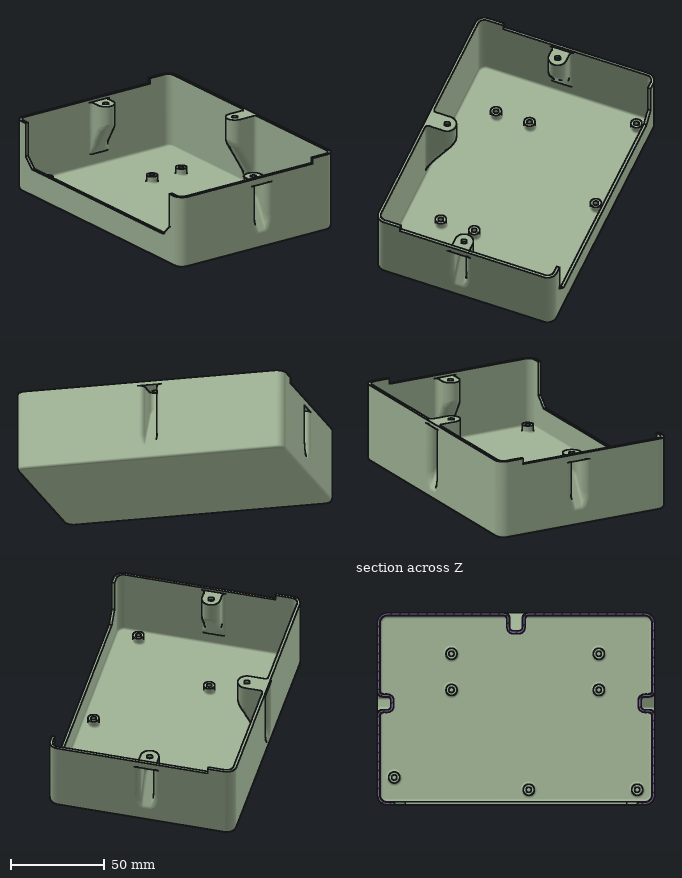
import cadquery as cq
import math

length = 149.2
width = 103.2
height = 43.5
wall = 1.6
corner_radius = 5.4
bottom_radius = 1.6
floor_radius = 1.6

rim_height = 40.5
raised_rim_length = 14.6
opening_width = 130.4
opening_floor = 15.7
opening_chamfer = 5.8

boss_width = 10.0
boss_radius = boss_width / 2
boss_cap = 2.2
boss_hole_diameter = 3.1
boss_slope = math.radians(60)
underside_radius = 3.3
root_radius = 1.6
side_boss_top = 38.8
side_boss_reach = 6.0
side_boss_tip = 27.8
side_boss_y = 3.0
rear_boss_reach = 10.1
rear_boss_tip = 31.0

post_diameter = 6.0
post_hole_diameter = 2.8
post_height = 4.5
post_root_radius = 1.6
rear_post_x = (-34.6, 44.5)
rear_post_y = (10.1, 29.5)
front_post_points = [(-65.3, -36.9), (6.9, -43.4), (65.0, -43.4)]


def rounded_box(inset, bottom, top, edge_radius):
    """Box with rounded corners and bottom edge, inset from the outer walls."""
    return (
        cq.Workplane("XY", origin=(0, 0, bottom))
        .rect(length - 2 * inset, width - 2 * inset)
        .extrude(top - bottom)
        .edges("|Z")
        .fillet(corner_radius - inset)
        .faces("<Z")
        .edges()
        .fillet(edge_radius)
    )


def slope_underside(prism, front, tip, edge_radius):
    """Cut a prism's lower end to the boss slope and round the edges of the sloped face.

    The slope starts at height tip on x = front and runs down towards -X.
    """
    rise = math.tan(boss_slope)
    below_slope = (
        cq.Workplane("XZ")
        .moveTo(front + wall, tip + wall * rise)
        .lineTo(-2 * wall, tip - (front + 2 * wall) * rise)
        .lineTo(-2 * wall, -height)
        .lineTo(front + wall, -height)
        .close()
        .extrude(boss_width, both=True)
    )
    underside_normal = cq.Vector(math.sin(boss_slope), 0, -math.cos(boss_slope))
    underside = cq.selectors.ParallelDirSelector(underside_normal)
    return prism.cut(below_slope).faces(underside).edges(">X").fillet(edge_radius)


def boss_form(reach, top, tip):
    """Half-round boss standing out along +X, its sides flaring into the wall.

    The wall's inner face is at x = 0 and the screw axis at x = reach.
    """
    front = reach + boss_radius
    back = -wall / 2
    flare_y = boss_radius + root_radius
    flare_mid = root_radius * (1 - math.sqrt(0.5))
    prism = (
        cq.Workplane("XY")
        .moveTo(back, -flare_y)
        .lineTo(0, -flare_y)
        .threePointArc((flare_mid, -boss_radius - flare_mid), (root_radius, -boss_radius))
        .lineTo(reach, -boss_radius)
        .threePointArc((front, 0), (reach, boss_radius))
        .lineTo(root_radius, boss_radius)
        .threePointArc((flare_mid, boss_radius + flare_mid), (0, flare_y))
        .lineTo(back, flare_y)
        .close()
        .extrude(top)
    )
    return slope_underside(prism, front, tip, underside_radius)


def recess_form(reach, boss_top, boss_tip):
    """Hollow of a boss, one wall thickness inside it, with a rounded mouth in the outer wall.

    The hollow stands on a thin plate lying against the outer face of the wall.
    """
    radius = boss_radius - wall
    front = reach + radius
    top = boss_top - boss_cap
    tip = boss_tip + wall * (1 / math.cos(boss_slope) - math.tan(boss_slope))
    mouth_radius = root_radius + wall
    mouth = -wall
    prism = (
        cq.Workplane("XY")
        .moveTo(mouth, -radius)
        .lineTo(reach, -radius)
        .threePointArc((front, 0), (reach, radius))
        .lineTo(mouth, radius)
        .close()
        .extrude(top)
    )
    hollow = slope_underside(prism, front, tip, underside_radius - wall)
    plate = (
        cq.Workplane("XY", origin=(mouth - wall, 0, 0))
        .box(wall, 2 * boss_width, top, centered=(False, True, False))
    )
    mouth_zone = cq.selectors.BoxSelector(
        (mouth - wall / 2, -boss_radius, wall),
        (mouth + wall / 2, boss_radius, top - wall),
    )
    return plate.union(hollow).edges(mouth_zone).fillet(mouth_radius)


def place(form, wall_point, angle):
    """Turn a form's +X to the given angle and move its origin to a wall's inner face."""
    return form.rotate((0, 0, 0), (0, 0, 1), angle).translate(wall_point)


def add_boss(body, wall_point, angle, reach, top, tip):
    """Screw boss with a parallel recess in the outer side of the wall and a hole in its cap."""
    boss = boss_form(reach, top, tip)
    recess = recess_form(reach, top, tip)
    hole = (
        cq.Workplane("XY", origin=(reach, 0, top - boss_cap - wall))
        .circle(boss_hole_diameter / 2)
        .extrude(boss_cap + 2 * wall)
    )
    body = body.union(place(boss, wall_point, angle))
    return body.cut(place(recess, wall_point, angle)).cut(place(hole, wall_point, angle))


def post(x, y):
    """Standoff with a flared foot."""
    radius = post_diameter / 2
    foot_radius = radius + post_root_radius
    foot_top = wall + post_root_radius
    foot_mid = post_root_radius * (1 - math.sqrt(0.5))
    return (
        cq.Workplane("XZ")
        .moveTo(0, wall / 2)
        .lineTo(foot_radius, wall / 2)
        .lineTo(foot_radius, wall)
        .threePointArc((radius + foot_mid, wall + foot_mid), (radius, foot_top))
        .lineTo(radius, wall + post_height)
        .lineTo(0, wall + post_height)
        .close()
        .revolve(360, (0, 0, 0), (0, 1, 0))
        .translate((x, y, 0))
    )


def post_hole(x, y):
    """Blind screw hole down to the floor."""
    return (
        cq.Workplane("XY", origin=(x, y, wall))
        .circle(post_hole_diameter / 2)
        .extrude(post_height + wall)
    )


body = rounded_box(0, 0, height, bottom_radius)
body = body.cut(rounded_box(wall, wall, height + wall, floor_radius))

step_length = width - raised_rim_length
rim_cut = cq.Workplane("XY").box(length, step_length, height, centered=(True, False, False))
body = body.cut(rim_cut.translate((0, -width / 2, rim_height)))

half_opening = opening_width / 2
opening = (
    cq.Workplane("XZ", origin=(0, -width / 2 + wall, 0))
    .moveTo(-half_opening, height)
    .lineTo(-half_opening, opening_floor + opening_chamfer)
    .lineTo(-half_opening + opening_chamfer, opening_floor)
    .lineTo(half_opening - opening_chamfer, opening_floor)
    .lineTo(half_opening, opening_floor + opening_chamfer)
    .lineTo(half_opening, height)
    .close()
    .extrude(wall)
)
body = body.cut(opening)

inner_x = length / 2 - wall
inner_y = width / 2 - wall
for side, angle in ((-1, 0), (1, 180)):
    wall_point = (side * inner_x, side_boss_y, 0)
    body = add_boss(body, wall_point, angle, side_boss_reach, side_boss_top, side_boss_tip)
body = add_boss(body, (0, inner_y, 0), -90, rear_boss_reach, height, rear_boss_tip)

post_points = [(x, y) for x in rear_post_x for y in rear_post_y] + front_post_points
for x, y in post_points:
    body = body.union(post(x, y)).cut(post_hole(x, y))

result = body